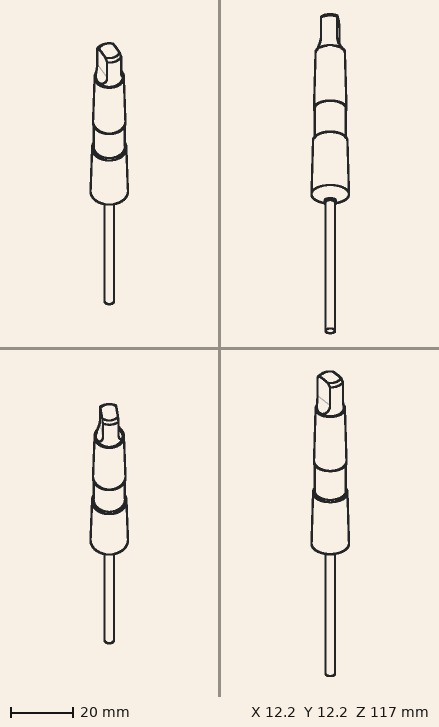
import cadquery as cq
import math

TOTAL_LENGTH = 117.0
POINT_TOP = 0.9
NOSE_BOTTOM = 48.5
NOSE_CONE_BOTTOM = 49.1
TAPER_BOTTOM = 51.6
RECESS_BOTTOM = 72.1
RECESS_TOP = 83.4
TANG_BOTTOM = 104.2
FLAT_BOTTOM = 108.5
TANG_CHAMFER_BOTTOM = 115.5
TANG_CHAMFER_TOP = 116.5

DRILL_RADIUS = 3.2 / 2

NOSE_RADIUS = 1.9
TAPER_LARGE_RADIUS = 12.2 / 2
TAPER_SLOPE = 0.025
RECESS_RADIUS = 10.1 / 2

TANG_RADIUS = 8.7 / 2
TANG_TOP_RADIUS = 3.4
TANG_THICKNESS = 5.1
FLAT_RUNOUT_RADIUS = 5.6
FLAT_ANGLE = -28.0


def taper_radius(height):
    """Radius of the tapered shank at a given height."""
    return TAPER_LARGE_RADIUS - TAPER_SLOPE * (height - TAPER_BOTTOM)


def revolve_profile(points):
    """Turn a closed (radius, height) profile about the Z axis."""
    return cq.Workplane("XZ").polyline(points).close().revolve(360, (0, 0, 0), (0, 1, 0))


def make_drill():
    """Straight round drill with a conical point."""
    return revolve_profile([
        (0, 0),
        (DRILL_RADIUS, POINT_TOP),
        (DRILL_RADIUS, NOSE_BOTTOM),
        (0, NOSE_BOTTOM),
    ])


def make_shank_blank():
    """Turned shank: conical nose, taper with a relief recess, and round tang."""
    shoulder_height = taper_radius(RECESS_BOTTOM) - RECESS_RADIUS
    shoulder_bottom = RECESS_BOTTOM - shoulder_height
    return revolve_profile([
        (0, NOSE_BOTTOM),
        (NOSE_RADIUS, NOSE_BOTTOM),
        (NOSE_RADIUS, NOSE_CONE_BOTTOM),
        (TAPER_LARGE_RADIUS, TAPER_BOTTOM),
        (taper_radius(shoulder_bottom), shoulder_bottom),
        (RECESS_RADIUS, RECESS_BOTTOM),
        (RECESS_RADIUS, RECESS_TOP),
        (taper_radius(RECESS_TOP), RECESS_TOP),
        (taper_radius(TANG_BOTTOM), TANG_BOTTOM),
        (TANG_RADIUS, TANG_BOTTOM),
        (TANG_RADIUS, TANG_CHAMFER_BOTTOM),
        (TANG_TOP_RADIUS, TANG_CHAMFER_TOP),
        (0, TOTAL_LENGTH),
    ])


def make_flat_cutter():
    """Cutter for one tang flat, with an arc that runs out through the tang side."""
    flat_offset = TANG_THICKNESS / 2
    runout_center = flat_offset + FLAT_RUNOUT_RADIUS
    half_diagonal = FLAT_RUNOUT_RADIUS * math.sqrt(0.5)
    return (
        cq.Workplane("YZ")
        .moveTo(flat_offset, TOTAL_LENGTH)
        .lineTo(flat_offset, FLAT_BOTTOM)
        .threePointArc(
            (runout_center - half_diagonal, FLAT_BOTTOM - half_diagonal),
            (runout_center, FLAT_BOTTOM - FLAT_RUNOUT_RADIUS),
        )
        .lineTo(runout_center, TOTAL_LENGTH)
        .close()
        .extrude(TANG_RADIUS, both=True)
        .intersect(
            cq.Workplane("XY").workplane(offset=TANG_BOTTOM)
            .circle(2 * TANG_RADIUS).extrude(TOTAL_LENGTH - TANG_BOTTOM)
        )
    )


def make_shank():
    """Shank with two opposite flats milled on the tang."""
    shank = make_shank_blank()
    for side_angle in (0, 180):
        cutter = make_flat_cutter().rotate((0, 0, 0), (0, 0, 1), FLAT_ANGLE + side_angle)
        shank = shank.cut(cutter)
    return shank


drill = make_drill()
shank = make_shank()

result = cq.Compound.makeCompound([drill.val(), shank.val()])